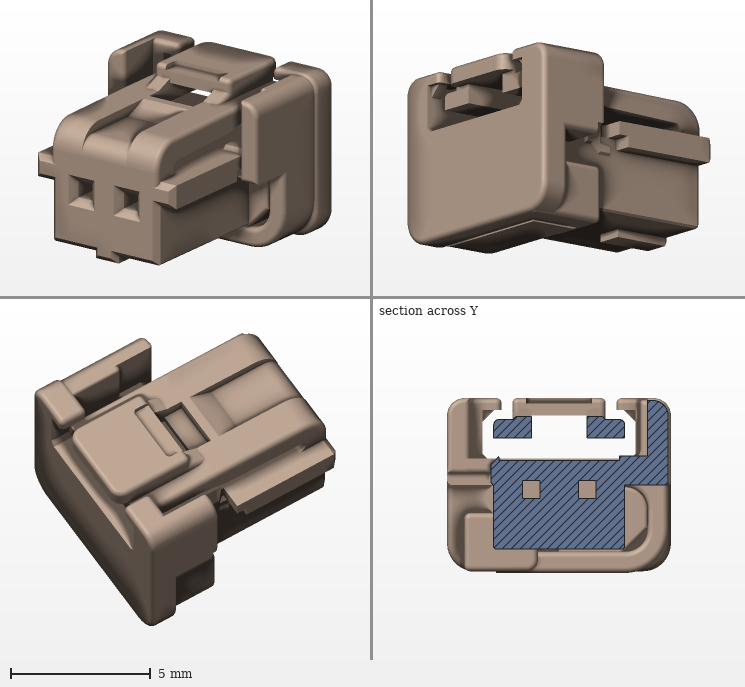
import cadquery as cq
import math

WIDTH = 8.0
LENGTH = 8.5
HEIGHT = 6.25
ROUND = 0.2
SOFT_ROUND = 0.18
TINY = 0.05
SIN45 = math.sin(math.radians(45))

BODY_HALF = 2.35
BODY_BOTTOM = 0.85
DECK_Z = 4.04
FACE_CHAMFER = 0.21
BOTTOM_CHAMFER = 0.08
WING_HALF = 3.05
WING_BOTTOM = 3.14
WING_END = 4.3
NOTCH_Z = 3.55
NOTCH_FRONT = 3.91
NOTCH_REAR = 6.05
SHOULDER_HALF = 2.14
KEY_HALF = 0.5
KEY_BOTTOM = 0.56
KEY_LENGTH = 2.37

PITCH = 2.0
HOLE_Z = 2.99
HOLE_MOUTH = 1.15
HOLE_SIZE = 0.62
HOLE_DEPTH = 5.0

ARM_TOP = 5.5
ARM_FRONT_TOP = 5.45
ARM_END = 8.0
ARM_BEND = 1.05
SLOT_END = 0.97
SLOT_TOP = 4.58
ARM_TAPER_START = (4.3, 4.68)
ARM_TAPER_END = (5.4, 4.91)
WINDOW_HALF = 0.98
WINDOW_START = 4.1
LEDGE_Z = 5.05
LEDGE_END = 4.82
RECESS_Z = 5.07
RECESS_SLOPE = (2.85, 3.79)
PAD_HALF = 1.667
PAD_FRONT = 5.38
PAD_BOTTOM = 5.62
PAD_CORNER = 0.47
RAMP_END = 4.7
RAMP_TOP = 5.78
LEG_ROOT = 5.2
GRIP_HALF = 1.18
GRIP_LENGTH = 0.67
GRIP_DEPTH = 0.2
GRIP_CORNER = 0.17

PLATE_BOTTOM = 0.06
PLATE_FRONT = 7.41
PLATE_TOP_R = 0.62
PLATE_BOTTOM_R = 1.0
OPENING_HALF = 2.73
OPENING_BOTTOM = 4.09
OPENING_CHAMFER = 0.17
OPENING_TOP = 5.82
MOUTH_HALF = 2.05
GUSSET = 0.42
GUSSET_FRONT = 7.9
LEFT_WALL_FRONT = 5.67
WALL_INNER = 3.19
SHROUD_FRONT = 5.4
RIGHT_WALL_FRONT = 3.91
RIGHT_WALL_OUTER = 3.9
RIGHT_WALL_INNER = 3.15
RIGHT_WALL_TOP = 6.18
RIGHT_WALL_R = 0.55
RIGHT_RIB_INNER = 2.91
RIM_ROUND = 0.1
COVE_R = 0.3
BRIDGE_TOP = 4.2
BRIDGE_CHAMFER = 0.15

BLOCK_LEFT = -3.38
BLOCK_RIGHT = -0.756
BLOCK_TOP = 2.14
BLOCK_CORNER = 0.4
WRAP_FRONT = 5.6
WRAP_LEFT = -2.26
WRAP_R = 1.55
POCKET_RIGHT = 3.17
POCKET_BOTTOM = 0.76
POCKET_TOP = 3.07
POCKET_R = 0.8
BOSS_CHAMFER = 0.85
BOSS_ROUND = 0.13

BEVEL_ANGLE = 45
HOOK_BEVEL = 0.3
HOOK_FRONT = 4.385
HOOK_REAR = 5.57
HOOK_BOTTOM = 3.0
HOOK_HEIGHT = SHOULDER_HALF + HOOK_BEVEL - BODY_HALF
HOOK_OUTLINE = [(5.4, 3.44), (4.76, 2.84), (4.13, 2.84), (4.13, 3.3), (4.6, 3.38),
                (4.75, 3.6), (5.2, 3.6)]


def box(x0, x1, y0, y1, z0, z1):
    """Box between two limits along each axis."""
    return cq.Workplane("XY").box(x1 - x0, y1 - y0, z1 - z0, centered=False).translate((x0, y0, z0))


def xz_sketch(y):
    """Workplane in the X-Z plane at depth y; its normal is -Y, so negative lengths run to the rear."""
    return cq.Workplane("XZ", origin=(0, y, 0))


def side_profile(x):
    """Workplane facing +X whose local axes are global Y and Z."""
    return cq.Workplane("YZ", origin=(x, 0, 0))


def front_block(half_width, z0, z1, length, face_edges):
    """Block starting at the mating face, chamfered around that face."""
    block = box(-half_width, half_width, 0, length, z0, z1)
    return block.faces("<Y").edges(face_edges).chamfer(FACE_CHAMFER)


def make_body():
    """Housing block with side wings, bottom key and stepped-in shoulders."""
    body = box(-BODY_HALF, BODY_HALF, 0, LENGTH - ROUND, BODY_BOTTOM, DECK_Z)
    body = body.faces("<Y").edges("not(>Z)").chamfer(FACE_CHAMFER)
    body = body.edges("|Y and <Z").chamfer(BOTTOM_CHAMFER)
    wings = front_block(WING_HALF, WING_BOTTOM, DECK_Z, WING_END, "|Z or |X")
    wings = wings.cut(box(-WIDTH, WIDTH, NOTCH_FRONT, NOTCH_REAR, 0, NOTCH_Z))
    key = front_block(KEY_HALF, KEY_BOTTOM, BODY_BOTTOM + 2 * FACE_CHAMFER, KEY_LENGTH, "|Z or <Z")
    body = body.union(wings).union(key)

    for x0, x1 in ((-BODY_HALF, -SHOULDER_HALF), (SHOULDER_HALF, BODY_HALF)):
        body = body.cut(box(x0, x1, WING_END, NOTCH_REAR, NOTCH_Z, DECK_Z))
    return body


def terminal_hole(x):
    """Blind square opening with a tapered lead-in."""
    hole = box(x - HOLE_SIZE / 2, x + HOLE_SIZE / 2, 0, HOLE_DEPTH,
               HOLE_Z - HOLE_SIZE / 2, HOLE_Z + HOLE_SIZE / 2)
    lead_in_depth = (HOLE_MOUTH - HOLE_SIZE) / 2
    lead_in = (xz_sketch(0).center(x, HOLE_Z).rect(HOLE_MOUTH, HOLE_MOUTH)
               .workplane(offset=-lead_in_depth).rect(HOLE_SIZE, HOLE_SIZE).loft())
    return hole.union(lead_in)


def make_arm():
    """Cantilevered latch arm bending up from the front of the body."""
    root_z = DECK_Z - ROUND
    bend_mid = ARM_BEND * (1 - SIN45)
    arm = (side_profile(-BODY_HALF)
           .moveTo(0, root_z).lineTo(0, ARM_FRONT_TOP - ARM_BEND)
           .threePointArc((bend_mid, ARM_FRONT_TOP - bend_mid), (ARM_BEND, ARM_FRONT_TOP))
           .lineTo(RAMP_END, ARM_TOP).lineTo(ARM_END, ARM_TOP).lineTo(ARM_END, root_z).close()
           .extrude(2 * BODY_HALF))
    arm = arm.faces("<X or >X").edges("not(<Z or >Y)").fillet(ROUND)

    slot_r = (SLOT_TOP - DECK_Z) / 2
    slot = (side_profile(-BODY_HALF)
            .moveTo(SLOT_END + slot_r, DECK_Z)
            .threePointArc((SLOT_END, SLOT_TOP - slot_r), (SLOT_END + slot_r, SLOT_TOP))
            .lineTo(*ARM_TAPER_START).lineTo(*ARM_TAPER_END).lineTo(LENGTH, ARM_TAPER_END[1])
            .lineTo(LENGTH, root_z).lineTo(SLOT_END + slot_r, root_z).close()
            .extrude(2 * BODY_HALF))

    bend_base = ARM_FRONT_TOP - ARM_BEND
    recess_r = RECESS_Z - bend_base
    recess_mid = recess_r * (1 - SIN45)
    recess = (side_profile(-WINDOW_HALF)
              .moveTo(0, bend_base)
              .threePointArc((recess_mid, RECESS_Z - recess_mid), (recess_r, RECESS_Z))
              .lineTo(RECESS_SLOPE[0], RECESS_Z).lineTo(RECESS_SLOPE[1], ARM_TOP)
              .lineTo(RECESS_SLOPE[1], HEIGHT).lineTo(0, HEIGHT).close().extrude(2 * WINDOW_HALF))
    window = box(-WINDOW_HALF, WINDOW_HALF, LEDGE_END, LENGTH, DECK_Z, HEIGHT)
    window = window.union(box(-WINDOW_HALF, WINDOW_HALF, WINDOW_START, LENGTH, LEDGE_Z, HEIGHT))
    return arm.cut(slot).cut(recess).cut(window)


def make_pad():
    """Thumb pad over the rear of the arm, with side legs and front ramps."""
    pad = box(-PAD_HALF, PAD_HALF, PAD_FRONT, LENGTH, PAD_BOTTOM, HEIGHT)
    pad = pad.edges("|Z and >Y").fillet(PAD_CORNER).edges("|Z and <Y").fillet(ROUND)
    pad = pad.faces(">Z").edges().fillet(SOFT_ROUND)
    grip = box(-GRIP_HALF, GRIP_HALF, 0, PAD_FRONT + GRIP_LENGTH, HEIGHT - GRIP_DEPTH, HEIGHT)
    pad = pad.cut(grip.edges("|Z and >Y").fillet(GRIP_CORNER))

    leg_profile = [(RAMP_END, ARM_TOP), (PAD_FRONT, RAMP_TOP), (ARM_END, RAMP_TOP),
                   (ARM_END, LEG_ROOT), (RAMP_END, LEG_ROOT)]
    for x in (-PAD_HALF, WINDOW_HALF):
        leg = side_profile(x).polyline(leg_profile).close().extrude(PAD_HALF - WINDOW_HALF)
        outer_edges = leg.faces("<X" if x < 0 else ">X").edges("not(<Z or >Y)")
        pad = pad.union(leg.newObject(outer_edges.vals()).fillet(ROUND))
    return pad


def shroud_blank(y0, y1):
    """Rounded outer form of the shroud between two depths."""
    blank = box(-WIDTH / 2, WIDTH / 2, y0, y1, PLATE_BOTTOM, HEIGHT)
    return blank.edges("|Y and >Z").fillet(PLATE_TOP_R).edges("|Y and <Z").fillet(PLATE_BOTTOM_R)


def make_plate():
    """Rear frame, open at the top around the latch, with two inward lips."""
    plate = shroud_blank(PLATE_FRONT, LENGTH)
    mouth = box(-MOUTH_HALF, MOUTH_HALF, PLATE_FRONT, LENGTH, OPENING_BOTTOM, HEIGHT)
    plate = plate.cut(mouth).edges("|Y and >Z").edges("<<X[1] or >>X[1]").fillet(ROUND)
    rim = plate.faces("<Y or >Y").edges().filter(lambda edge: abs(edge.Center().z - OPENING_BOTTOM) > TINY)
    return rim.fillet(ROUND)


def make_opening():
    """Space beside the latch, enclosed by the side walls and the lips."""
    opening = box(-OPENING_HALF, OPENING_HALF, 0, LENGTH, OPENING_BOTTOM, OPENING_TOP)
    return opening.edges("|Y and <Z").chamfer(OPENING_CHAMFER)


def lip_gusset(side):
    """Small triangular web in the corner under one lip."""
    x = side * OPENING_HALF
    corner = [(x, OPENING_TOP), (x - side * GUSSET, OPENING_TOP), (x, OPENING_TOP - GUSSET)]
    return xz_sketch(GUSSET_FRONT).polyline(corner).close().extrude(GUSSET_FRONT - LENGTH + ROUND)


def make_left_wall():
    """Left side wall of the shroud, raised at its front by the clearance band."""
    wall = shroud_blank(LEFT_WALL_FRONT, LENGTH - ROUND)
    wall = wall.intersect(box(-WIDTH / 2, -WALL_INNER, 0, LENGTH, WING_BOTTOM, HEIGHT))
    wall = wall.faces("<Z").edges("<X").fillet(ROUND)
    wall = wall.cut(box(-WIDTH, 0, 0, NOTCH_REAR, 0, NOTCH_Z))
    return wall.faces("<Y").edges().fillet(SOFT_ROUND)


def make_right_wall():
    """Longer right side wall with an inner rib and a cove down to the deck."""
    rear = LENGTH - ROUND
    wall = box(RIGHT_WALL_INNER, RIGHT_WALL_OUTER, RIGHT_WALL_FRONT, rear, WING_BOTTOM, RIGHT_WALL_TOP)
    wall = wall.edges("|Y and >Z and >X").fillet(RIGHT_WALL_R)
    wall = wall.faces("<Y").edges().fillet(SOFT_ROUND)

    rib_outer = RIGHT_WALL_OUTER - PLATE_TOP_R
    rib = box(RIGHT_RIB_INNER, rib_outer, SHROUD_FRONT, rear, WING_BOTTOM, RIGHT_WALL_TOP)
    rib = rib.edges("|Y and >Z and <X").fillet(RIM_ROUND).edges("<Y and <X").fillet(ROUND)

    cove_x = RIGHT_RIB_INNER - COVE_R
    cove_z = OPENING_BOTTOM + COVE_R
    cove = box(cove_x, RIGHT_RIB_INNER + TINY, SHROUD_FRONT, rear, OPENING_BOTTOM - TINY, cove_z)
    cove = cove.cut(xz_sketch(0).center(cove_x, cove_z).circle(COVE_R).extrude(-LENGTH))
    return wall.union(rib).union(cove)


def make_deck():
    """Floor of the shroud on both sides of the body, plus the bridge to the right wall."""
    left_edge = -WALL_INNER - ROUND
    right_edge = RIGHT_WALL_INNER + ROUND
    rear = LENGTH - ROUND
    left = box(left_edge, -SHOULDER_HALF, LEFT_WALL_FRONT, rear, NOTCH_Z, OPENING_BOTTOM)
    left = left.edges("<Y and <Z").fillet(ROUND)
    left = left.union(box(left_edge, -SHOULDER_HALF, NOTCH_REAR, rear, WING_BOTTOM, NOTCH_Z))
    right = box(SHOULDER_HALF, right_edge, SHROUD_FRONT, rear, WING_BOTTOM, OPENING_BOTTOM)
    bridge = box(SHOULDER_HALF, right_edge, WING_END, SHROUD_FRONT, WING_BOTTOM, BRIDGE_TOP)
    bridge = bridge.edges("<Y and >Z").chamfer(BRIDGE_CHAMFER)
    return left.union(right).union(bridge)


def make_left_hook():
    """Bump on the left flank with bevelled sides and a hooked lower end."""
    upper = (side_profile(-SHOULDER_HALF)
             .moveTo(HOOK_FRONT, HOOK_BOTTOM).lineTo(HOOK_FRONT, BRIDGE_TOP)
             .lineTo(HOOK_REAR, BRIDGE_TOP).lineTo(HOOK_REAR, HOOK_BOTTOM)
             .close().extrude(-HOOK_BEVEL, taper=BEVEL_ANGLE))
    lower = (side_profile(-BODY_HALF + TINY)
             .polyline(HOOK_OUTLINE).close().extrude(-HOOK_HEIGHT - TINY, taper=BEVEL_ANGLE))
    return upper.union(lower)


def make_corner_block():
    """Lower left block in front of the rear frame."""
    block = box(BLOCK_LEFT, BLOCK_RIGHT, SHROUD_FRONT, LENGTH - ROUND, PLATE_BOTTOM, BLOCK_TOP)
    block = block.edges("|Y and >X and <Z").fillet(BLOCK_CORNER)
    block = block.edges("|Y and <X").fillet(ROUND)
    return block.faces("<Y").edges("not(>Z and >X)").fillet(SOFT_ROUND)


def wrap_rim(wrap):
    """Front edges of the wrap: its outer sweep and the rim of its hollow."""
    def on_rim(edge):
        middle = edge.Center()
        return middle.z < WING_BOTTOM - TINY and middle.x > WRAP_LEFT + TINY
    return wrap.faces("<Y").edges().filter(on_rim).vals()


def make_wrap():
    """Wall running under the body and up its right flank, hollowed beside the body."""
    wrap = box(WRAP_LEFT, RIGHT_WALL_OUTER, WRAP_FRONT, PLATE_FRONT + ROUND, 0, WING_BOTTOM + ROUND)
    wrap = wrap.cut(box(WRAP_LEFT, 0, WRAP_FRONT, LENGTH, BLOCK_TOP, HEIGHT))
    wrap = wrap.edges("|Y and >X and <Z").fillet(WRAP_R)
    pocket = box(WRAP_LEFT, POCKET_RIGHT, WRAP_FRONT, PLATE_FRONT, POCKET_BOTTOM, POCKET_TOP)
    pocket = pocket.edges("|Y and >X").fillet(POCKET_R)
    wrap = wrap.cut(pocket)
    wrap = wrap.newObject(wrap_rim(wrap)).fillet(ROUND)

    boss = box(0, POCKET_RIGHT, WRAP_FRONT, PLATE_FRONT + ROUND, POCKET_BOTTOM, POCKET_TOP)
    boss = boss.edges("|Y and >X and >Z").fillet(POCKET_R).edges("|Y and >X and <Z").chamfer(BOSS_CHAMFER)
    boss = boss.faces("<Y").edges("not(<X or <Z)").fillet(BOSS_ROUND)
    return wrap.union(boss)


def make_part():
    """Join the shroud, body and latch, then cut the terminal openings."""
    part = make_plate().union(make_left_wall()).cut(make_opening())
    for side in (-1, 1):
        part = part.union(lip_gusset(side))
    part = part.union(make_right_wall()).union(make_deck()).union(make_corner_block()).union(make_wrap())
    part = part.union(make_body()).union(make_left_hook())
    part = part.union(make_arm()).union(make_pad())
    for x in (-PITCH / 2, PITCH / 2):
        part = part.cut(terminal_hole(x))
    return part


result = make_part()